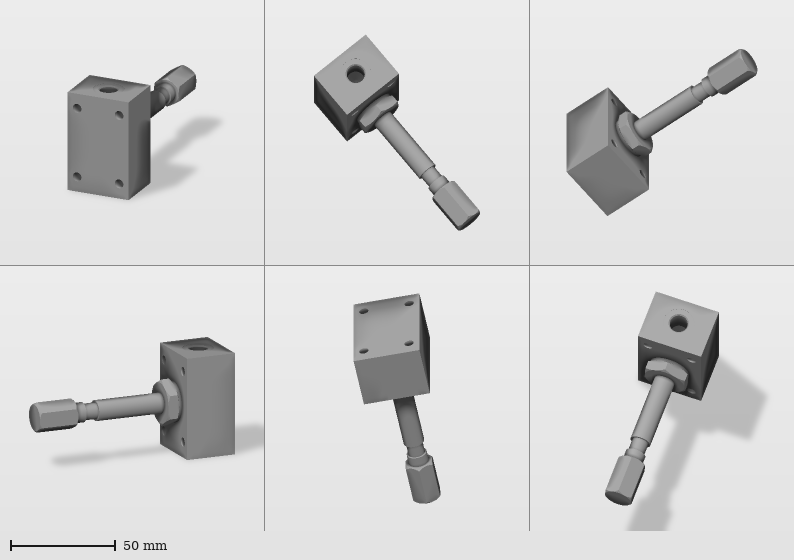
import cadquery as cq
import math

BLOCK_WIDTH = 32.0
BLOCK_DEPTH = 25.0
BLOCK_HEIGHT = 50.0

MOUNT_HOLE_DIAMETER = 4.5
MOUNT_SPACING_X = 22.0
MOUNT_SPACING_Z = 35.0

PORT_SETBACK = 13.0
PORT_SEAT_DIAMETER = 15.0
PORT_SEAT_DEPTH = 0.1
PORT_MOUTH_DIAMETER = 9.75
PORT_BORE_DIAMETER = 8.6
PORT_BORE_DEPTH = 12.0
DRILL_POINT_ANGLE = 118.0

TOTAL_LENGTH = 97.5
FLANGE_DIAMETER = 20.0
FLANGE_LENGTH = 1.5
NUT_ACROSS_FLATS = 20.0
NUT_LENGTH = 5.6
TUBE_DIAMETER = 10.0
TUBE_LENGTH = 33.9
NECK_DIAMETER = 8.0
NECK_LENGTH = 6.5
SPIGOT_DIAMETER = 9.75
SPIGOT_LENGTH = 5.0
CAP_ACROSS_FLATS = 13.0

NUT_CHAMFER_ANGLE = 30.0
NUT_CHAMFER_RADIUS = NUT_ACROSS_FLATS / 2
CAP_CHAMFER_ANGLE = 45.0
CAP_CHAMFER_RADIUS = CAP_ACROSS_FLATS / 2


def make_port():
    """Port cavity revolved about Z, with its mouth at Z = 0."""
    seat_radius = PORT_SEAT_DIAMETER / 2
    mouth_radius = PORT_MOUTH_DIAMETER / 2
    bore_radius = PORT_BORE_DIAMETER / 2
    bevel_end = PORT_SEAT_DEPTH + mouth_radius - bore_radius
    point_length = bore_radius / math.tan(math.radians(DRILL_POINT_ANGLE / 2))
    return (
        cq.Workplane("XZ")
        .moveTo(0, 0)
        .lineTo(seat_radius, 0)
        .lineTo(seat_radius, -PORT_SEAT_DEPTH)
        .lineTo(mouth_radius, -PORT_SEAT_DEPTH)
        .lineTo(bore_radius, -bevel_end)
        .lineTo(bore_radius, -PORT_BORE_DEPTH)
        .lineTo(0, -PORT_BORE_DEPTH - point_length)
        .close()
        .revolve(360, (0, 0), (0, 1))
    )


def make_block():
    """Rectangular block with four mounting holes and the top port."""
    body = cq.Workplane("XY").box(
        BLOCK_WIDTH, BLOCK_DEPTH, BLOCK_HEIGHT, centered=(True, False, True)
    )
    mount_holes = (
        cq.Workplane("XZ")
        .rarray(MOUNT_SPACING_X, MOUNT_SPACING_Z, 2, 2)
        .circle(MOUNT_HOLE_DIAMETER / 2)
        .extrude(-BLOCK_DEPTH)
    )
    port = make_port().translate((0, BLOCK_DEPTH - PORT_SETBACK, BLOCK_HEIGHT / 2))
    return body.cut(mount_holes).cut(port)


def make_cylinder(diameter, start, length):
    """Cylinder along +Y that begins at Y = start."""
    return cq.Workplane("XZ", origin=(0, start, 0)).circle(diameter / 2).extrude(-length)


def make_hexagon(across_flats, start, length, chamfer_radius, chamfer_angle):
    """Hexagonal bar along +Y, corners up and down, chamfered at both ends."""
    corner_radius = across_flats / math.sqrt(3)
    hexagon = (
        cq.Workplane("XZ", origin=(0, start, 0))
        .transformed(rotate=(0, 0, 90))
        .polygon(6, 2 * corner_radius)
        .extrude(-length)
    )
    chamfer_length = (corner_radius - chamfer_radius) * math.tan(math.radians(chamfer_angle))
    end = start + length
    envelope = (
        cq.Workplane("XY")
        .moveTo(0, start)
        .lineTo(chamfer_radius, start)
        .lineTo(corner_radius, start + chamfer_length)
        .lineTo(corner_radius, end - chamfer_length)
        .lineTo(chamfer_radius, end)
        .lineTo(0, end)
        .close()
        .revolve(360, (0, 0), (0, 1))
    )
    return hexagon.intersect(envelope)


def make_cartridge():
    """Flange, nut, tube, neck, spigot and hexagonal cap in one body."""
    flange_start = BLOCK_DEPTH
    nut_start = flange_start + FLANGE_LENGTH
    tube_start = nut_start + NUT_LENGTH
    neck_start = tube_start + TUBE_LENGTH
    spigot_start = neck_start + NECK_LENGTH
    cap_start = spigot_start + SPIGOT_LENGTH
    cap_length = TOTAL_LENGTH - cap_start

    flange = make_cylinder(FLANGE_DIAMETER, flange_start, FLANGE_LENGTH)
    nut = make_hexagon(NUT_ACROSS_FLATS, nut_start, NUT_LENGTH, NUT_CHAMFER_RADIUS, NUT_CHAMFER_ANGLE)
    tube = make_cylinder(TUBE_DIAMETER, tube_start, TUBE_LENGTH)
    neck = make_cylinder(NECK_DIAMETER, neck_start, NECK_LENGTH)
    spigot = make_cylinder(SPIGOT_DIAMETER, spigot_start, SPIGOT_LENGTH)
    cap = make_hexagon(
        CAP_ACROSS_FLATS, cap_start, cap_length, CAP_CHAMFER_RADIUS, CAP_CHAMFER_ANGLE
    )
    return flange.union(nut).union(tube).union(neck).union(spigot).union(cap)


block = make_block()
cartridge = make_cartridge()

result = cq.Compound.makeCompound([block.val(), cartridge.val()])